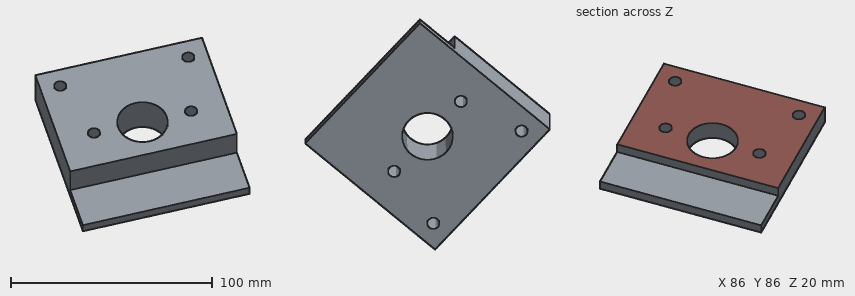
import cadquery as cq

side = 86.0
height = 20.0

ledge_width = 23.0
ledge_thickness = 5.0

bore_diameter = 25.0
small_hole_diameter = 6.0
bore_hole_offset = 25.0
corner_hole_inset = 10.0

corner_hole_offset = side / 2 - corner_hole_inset


def stepped_block():
    """Square block with a full-length step cut along its +X edge."""
    block = cq.Workplane("XY").box(side, side, height, centered=(True, True, False))
    step = (
        cq.Workplane("XY", origin=(side / 2 - ledge_width, -side / 2, ledge_thickness))
        .box(ledge_width, side, height - ledge_thickness, centered=False)
    )
    return block.cut(step)


def through_holes(points, diameter):
    """Cylinders as tall as the block, one at each point."""
    return cq.Workplane("XY").pushPoints(points).circle(diameter / 2).extrude(height)


small_hole_points = []
for direction in (-1, 1):
    small_hole_points.append((0, direction * bore_hole_offset))
    small_hole_points.append((-corner_hole_offset, direction * corner_hole_offset))

result = (
    stepped_block()
    .cut(through_holes([(0, 0)], bore_diameter))
    .cut(through_holes(small_hole_points, small_hole_diameter))
)